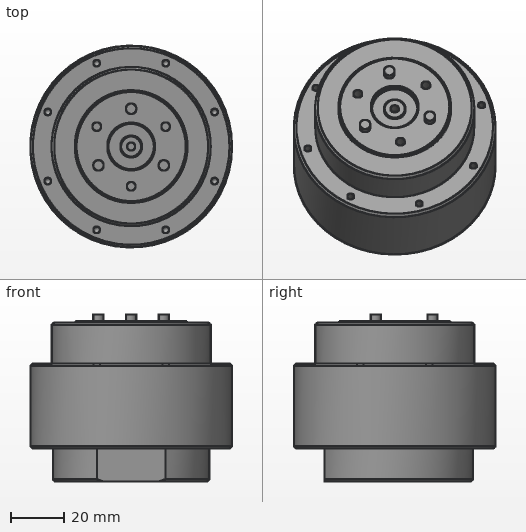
import cadquery as cq
import math

base_diameter = 59.0
base_height = 12.5
flange_diameter = 76.0
flange_height = 32.0
collar_diameter = 60.0
collar_height = 15.5
rim_chamfer = 1.0

flat_distance = 26.5

disc_diameter = 42.0
disc_height = 0.5
disc_chamfer = 0.45

gap_width = 0.2
gap_depth = 1.0

recess_diameter = 17.1
recess_depth = 2.0
recess_chamfer = 0.45
hub_diameter = 8.2
hub_height = 0.45
hub_chamfer = 0.3
hub_hole_diameter = 3.05
hub_hole_depth = 5.0

pin_count = 3
pin_diameter = 3.95
pin_height = 2.5
pin_circle_radius = 14.2
pin_start_angle = 90.0
disc_hole_diameter = 3.3
disc_hole_depth = 8.0
disc_hole_circle_radius = 15.0
disc_hole_start_angle = pin_start_angle + 180.0 / pin_count

flange_hole_count = 8
flange_hole_diameter = 2.5
flange_hole_depth = 8.0
flange_hole_circle_radius = 34.0
flange_hole_start_angle = 180.0 / flange_hole_count
drill_point_angle = 118.0

flange_bottom = base_height
flange_top = flange_bottom + flange_height
collar_top = flange_top + collar_height
disc_top = collar_top + disc_height
recess_floor = disc_top - recess_depth
hub_top = recess_floor + hub_height


def cylinder(diameter, height, bottom):
    return cq.Workplane("XY").workplane(offset=bottom).circle(diameter / 2).extrude(height)


def ring_of_points(count, radius, start_angle):
    angles = [math.radians(start_angle + i * 360.0 / count) for i in range(count)]
    return [(radius * math.cos(a), radius * math.sin(a)) for a in angles]


def base():
    body = cylinder(base_diameter, base_height, 0).faces("<Z").chamfer(rim_chamfer)
    waste_depth = base_diameter / 2 - flat_distance
    waste = cq.Workplane("XY").box(
        base_diameter, waste_depth, base_height, centered=(True, False, False)
    )
    return body.cut(waste.translate((0, -base_diameter / 2, 0)))


def flange():
    body = cylinder(flange_diameter, flange_height, flange_bottom)
    return body.faces("<Z or >Z").chamfer(rim_chamfer)


def collar():
    return cylinder(collar_diameter, collar_height, flange_top).faces(">Z").chamfer(rim_chamfer)


def disc():
    return cylinder(disc_diameter, disc_height, collar_top).faces(">Z").chamfer(disc_chamfer)


def disc_gap():
    gap_bottom = collar_top - gap_depth
    outer = cylinder(disc_diameter + 2 * gap_width, gap_depth, gap_bottom)
    return outer.cut(cylinder(disc_diameter, gap_depth, gap_bottom))


def recess():
    bore = cylinder(recess_diameter, recess_depth, recess_floor)
    mouth = (
        cq.Workplane("XY")
        .workplane(offset=disc_top - recess_chamfer)
        .circle(recess_diameter / 2)
        .extrude(recess_chamfer, taper=-45)
    )
    return bore.union(mouth)


def hub():
    return cylinder(hub_diameter, hub_height, recess_floor).faces(">Z").chamfer(hub_chamfer)


def pins():
    centres = ring_of_points(pin_count, pin_circle_radius, pin_start_angle)
    plane = cq.Workplane("XY").workplane(offset=disc_top)
    return plane.pushPoints(centres).circle(pin_diameter / 2).extrude(pin_height)


def hub_hole():
    return cylinder(hub_hole_diameter, hub_hole_depth, hub_top - hub_hole_depth)


def disc_holes():
    centres = ring_of_points(pin_count, disc_hole_circle_radius, disc_hole_start_angle)
    plane = cq.Workplane("XY").workplane(offset=disc_top - disc_hole_depth)
    return plane.pushPoints(centres).circle(disc_hole_diameter / 2).extrude(disc_hole_depth)


def flange_holes():
    radius = flange_hole_diameter / 2
    point_depth = radius / math.tan(math.radians(drill_point_angle / 2))
    drill = (
        cq.Workplane("XZ")
        .moveTo(0, flange_top)
        .lineTo(radius, flange_top)
        .lineTo(radius, flange_top - flange_hole_depth)
        .lineTo(0, flange_top - flange_hole_depth - point_depth)
        .close()
        .revolve(360, (0, 0, 0), (0, 1, 0))
    )
    centres = ring_of_points(flange_hole_count, flange_hole_circle_radius, flange_hole_start_angle)
    holes = cq.Workplane("XY")
    for x, y in centres:
        holes = holes.add(drill.translate((x, y, 0)))
    return holes.combine()


body = base().union(flange()).union(collar()).union(disc())
body = body.cut(disc_gap()).cut(recess()).union(hub()).union(pins())
result = body.cut(hub_hole()).cut(disc_holes()).cut(flange_holes())